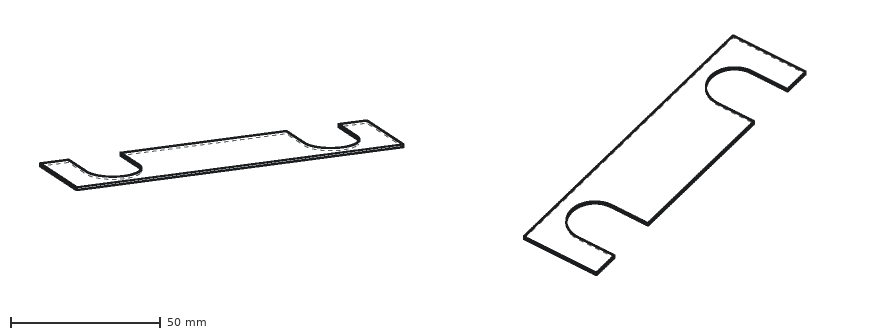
import cadquery as cq

length = 120.0
width = length / 4
thickness = 1.0

slot_spacing = 80.0
slot_width = 19.2
slot_radius = slot_width / 2
slot_end_x = 0.0


def slot_cutter(center_y):
    """Slot running from the -X edge to a full-round end."""
    edge_x = -width / 2
    return (
        cq.Workplane("XY")
        .moveTo(edge_x, center_y - slot_radius)
        .lineTo(slot_end_x, center_y - slot_radius)
        .threePointArc((slot_end_x + slot_radius, center_y), (slot_end_x, center_y + slot_radius))
        .lineTo(edge_x, center_y + slot_radius)
        .close()
        .extrude(thickness)
    )


result = cq.Workplane("XY").box(width, length, thickness, centered=(True, True, False))
for side in (-1, 1):
    result = result.cut(slot_cutter(side * slot_spacing / 2))